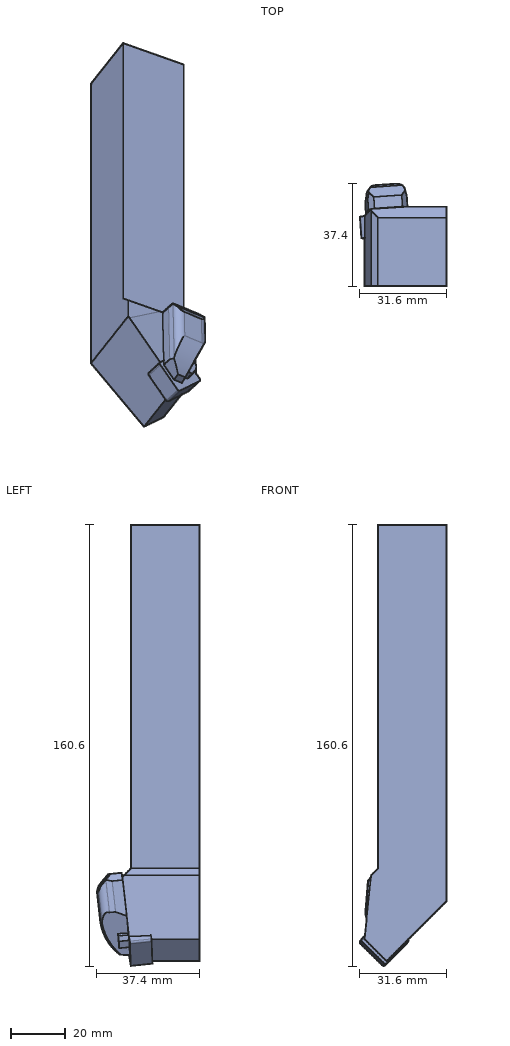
import cadquery as cq
import math

shank_size = 25.0
total_height = 160.57
head_top = 35.5
head_chamfer = 2.5
head_back_step = 4.0
head_low_x = -4.9
head_tip_x = 3.15
head_tip_z = 1.75

seat_origin = (2.05, 25.9, 8.65)
seat_slope_x = math.tan(math.radians(4.0))
seat_slope_z = math.tan(math.radians(6.0))
seat_plane = cq.Plane(
    origin=seat_origin,
    xDir=(1, seat_slope_x, 0),
    normal=(-seat_slope_x, 1, -seat_slope_z),
)
cutter_size = 60.0

insert_size = 12.7
insert_thickness = 7.94
insert_radius = 0.7

clamp_height = 9.14
clamp_back = -25.4
clamp_nose = 4.7
clamp_width = 14.2
clamp_left = -5.1
clamp_angle = 5.0
clamp_back_wall = 4.2
clamp_back_bevel = 4.0
clamp_crest_run = 2.0
clamp_corner_width = 2.0
clamp_corner_length = 2.6
side_height = 4.0
side_bevel_inset = 0.5
side_bevel_height = 2.2
side_radius = clamp_height - side_height - side_bevel_height
nose_arc_start = (-9.0, clamp_height)
nose_arc_middle = (-0.9, 7.0)
nose_arc_end = (4.3, 3.2)
facet_start = -9.6
facet_angle = 20.5
facet_lean = 0.6
flank_offset = 2.2

lug_height = 3.7
lug_top = -3.5
lug_bend = -0.7
lug_bottom = 1.8
lug_left = -4.6
lug_corner = 0.8
lug_lower_angle = 27.0
lug_depth = 4.0


def make_head_and_shank():
    head_low_z = head_tip_z + (head_tip_x - head_low_x)
    flank_top_z = head_tip_z + (shank_size - head_tip_x)
    head_back = shank_size + head_back_step
    shank = (
        cq.Workplane("XY", origin=(0, 0, head_top))
        .rect(shank_size, shank_size, centered=False)
        .extrude(total_height - head_top)
    )
    head = (
        cq.Workplane("XZ")
        .moveTo(0, head_top)
        .lineTo(-head_chamfer, head_top - head_chamfer)
        .lineTo(head_low_x, head_low_z)
        .lineTo(head_tip_x, head_tip_z)
        .lineTo(shank_size, flank_top_z)
        .lineTo(shank_size, head_top)
        .close()
        .extrude(-head_back)
    )
    shoulder = (
        cq.Workplane("YZ", origin=(head_low_x, 0, 0))
        .moveTo(shank_size, head_top)
        .lineTo(head_back, head_top - head_back_step)
        .lineTo(head_back, head_top)
        .close()
        .extrude(shank_size - head_low_x)
    )
    above_seat = (
        cq.Workplane(seat_plane)
        .rect(cutter_size, cutter_size)
        .extrude(cutter_size)
    )
    return head.cut(shoulder).cut(above_seat).union(shank)


def make_insert():
    block = (
        cq.Workplane("XY")
        .rect(insert_size, insert_size)
        .extrude(-insert_thickness)
        .edges("|Z")
        .fillet(insert_radius)
        .rotate((0, 0, 0), (0, 0, 1), 45)
    )
    return block.val().moved(cq.Location(seat_plane))


def make_clamp_bar():
    """Bar of constant section, running back to front at the clamp angle."""
    start = -cutter_size / 2
    shoulder_height = side_height + side_bevel_height
    shoulder_inset = side_bevel_inset + side_radius
    corner_inset = side_bevel_inset + side_radius * (1 - math.sqrt(0.5))
    corner_height = shoulder_height + side_radius * math.sqrt(0.5)
    bar = (
        cq.Workplane("XZ", origin=(0, start, 0))
        .lineTo(clamp_width, 0)
        .lineTo(clamp_width, side_height)
        .lineTo(clamp_width - side_bevel_inset, shoulder_height)
        .threePointArc(
            (clamp_width - corner_inset, corner_height),
            (clamp_width - shoulder_inset, clamp_height),
        )
        .lineTo(shoulder_inset, clamp_height)
        .threePointArc((corner_inset, corner_height), (side_bevel_inset, shoulder_height))
        .lineTo(0, side_height)
        .close()
        .extrude(-cutter_size)
    )
    return bar.rotate((0, 0, 0), (0, 0, 1), clamp_angle).translate((clamp_left, clamp_back, 0))


def make_clamp_plan():
    """Plan outline with chamfered back corners and the +X flank of the nose."""
    slant = math.tan(math.radians(clamp_angle))
    far_left = clamp_left - slant * (clamp_nose - clamp_back)
    right = clamp_left + clamp_width
    flank_start = clamp_nose - (right - flank_offset)
    return (
        cq.Workplane("XY")
        .moveTo(clamp_left + clamp_corner_width, clamp_back)
        .lineTo(right - clamp_corner_width, clamp_back)
        .lineTo(right, clamp_back + clamp_corner_length)
        .lineTo(right, flank_start)
        .lineTo(flank_offset, clamp_nose)
        .lineTo(far_left, clamp_nose)
        .lineTo(clamp_left - slant * clamp_corner_length, clamp_back + clamp_corner_length)
        .close()
        .extrude(clamp_height)
    )


def make_clamp_profile():
    """Side outline with the bevelled back and the rounded nose."""
    bevel_end = clamp_back + clamp_back_bevel
    return (
        cq.Workplane("YZ", origin=(-cutter_size / 2, 0, 0))
        .moveTo(clamp_back, 0)
        .lineTo(clamp_back, clamp_back_wall)
        .lineTo(bevel_end, clamp_back_wall + clamp_back_bevel)
        .lineTo(bevel_end + clamp_crest_run, clamp_height)
        .lineTo(*nose_arc_start)
        .threePointArc(nose_arc_middle, nose_arc_end)
        .lineTo(clamp_nose, 0)
        .close()
        .extrude(cutter_size)
    )


def make_facet_cutter():
    """Block whose face is the leaning facet on the -X side of the nose."""
    slant = math.tan(math.radians(clamp_angle))
    taper = math.tan(math.radians(facet_angle))
    facet_left = clamp_left - slant * (facet_start - clamp_back)
    facet_plane = cq.Plane(
        origin=(facet_left, facet_start, 0),
        xDir=(taper, 1, 0),
        normal=(-1, taper, taper * facet_lean),
    )
    return (
        cq.Workplane(facet_plane)
        .rect(cutter_size, cutter_size)
        .extrude(cutter_size)
    )


def make_lug():
    lower_run = (lug_bottom - lug_bend) * math.tan(math.radians(lug_lower_angle))
    return (
        cq.Workplane("XY")
        .moveTo(lug_left + lug_depth, lug_top)
        .lineTo(lug_left + lug_corner, lug_top)
        .lineTo(lug_left, lug_top + lug_corner)
        .lineTo(lug_left, lug_bend)
        .lineTo(lug_left + lower_run, lug_bottom)
        .lineTo(lug_left + lug_depth, lug_bottom)
        .close()
        .extrude(lug_height)
    )


def make_clamp():
    bar = make_clamp_bar().intersect(make_clamp_plan()).intersect(make_clamp_profile())
    clamp = bar.cut(make_facet_cutter()).union(make_lug())
    return clamp.val().moved(cq.Location(seat_plane))


insert = cq.Workplane(make_insert())

holder = make_head_and_shank().union(cq.Workplane(make_clamp())).cut(insert)

result = cq.Compound.makeCompound([holder.val(), insert.val()])